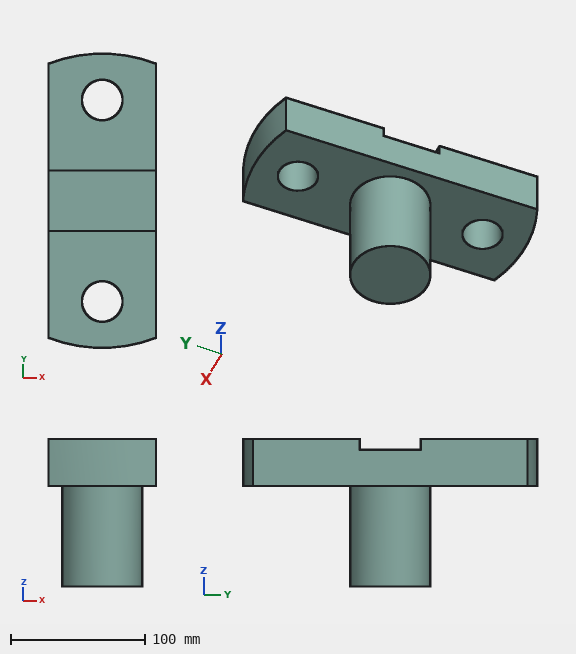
import cadquery as cq

length = 219.4
width = 80.0
thickness = 35.0
end_radius = length / 2

total_height = 110.0
post_diameter = 60.0
post_length = total_height - thickness

hole_diameter = 30.0
hole_spacing = 150.0
slot_width = 45.5
slot_depth = 8.0


def make_crossbar():
    """Flat bar with its underside at Z = 0 and its ends trimmed to a circle."""
    bar = cq.Workplane("XY").rect(width, length).extrude(thickness)
    disc = cq.Workplane("XY").circle(end_radius).extrude(thickness)
    return bar.intersect(disc)


def make_post():
    """Round post hanging below the centre of the bar."""
    return cq.Workplane("XY").circle(post_diameter / 2).extrude(-post_length)


def make_holes():
    """Two through holes, one towards each end of the bar."""
    centres = [(0, -hole_spacing / 2), (0, hole_spacing / 2)]
    return cq.Workplane("XY").pushPoints(centres).circle(hole_diameter / 2).extrude(thickness)


def make_slot():
    """Shallow slot running across the full width of the top face."""
    top = cq.Workplane("XY").workplane(offset=thickness)
    return top.rect(width, slot_width).extrude(-slot_depth)


result = make_crossbar().union(make_post()).cut(make_holes()).cut(make_slot())